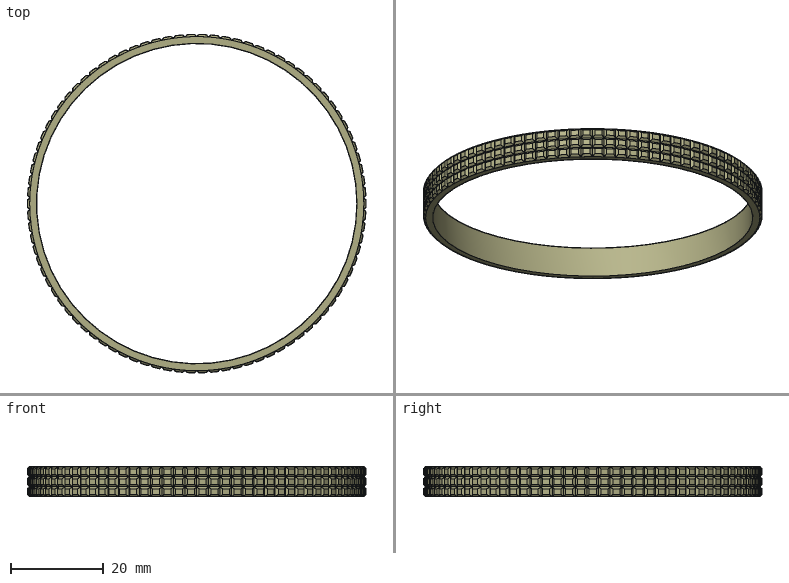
import cadquery as cq
import math

outer_diameter = 73.0
bore_diameter = 69.0
ring_height = 6.5
pad_rows = 3
pads_per_row = 90
groove_depth = 0.5
groove_half_width = 0.5

tip_radius = outer_diameter / 2
bore_radius = bore_diameter / 2
root_radius = tip_radius - groove_depth
row_pitch = ring_height / pad_rows
pad_pitch_angle = 2 * math.pi / pads_per_row
groove_half_angle = math.asin(groove_half_width / tip_radius)


def polar(radius, angle):
    """Point in the XY plane at a radius and an angle in radians."""
    return (radius * math.cos(angle), radius * math.sin(angle))


def row_profile():
    """Ring cross-section in radius and height: each row has a flat tip between two slopes."""
    profile = cq.Workplane("XZ").moveTo(bore_radius, 0).lineTo(root_radius, 0)
    for row in range(pad_rows):
        row_bottom = row * row_pitch
        row_top = row_bottom + row_pitch
        profile = profile.lineTo(tip_radius, row_bottom + groove_half_width)
        profile = profile.lineTo(tip_radius, row_top - groove_half_width)
        profile = profile.lineTo(root_radius, row_top)
    return profile.lineTo(bore_radius, ring_height).close()


def ribbed_ring():
    """Plain ring whose outside is split into rows by V grooves around it."""
    return row_profile().revolve(360, (0, 0), (0, 1))


def toothed_cylinder():
    """Solid cylinder with V grooves along Z; one pad is centred on the +X axis."""
    half_pitch = pad_pitch_angle / 2
    half_tip = half_pitch - groove_half_angle
    outline = cq.Workplane("XY").moveTo(*polar(root_radius, -half_pitch))
    for pad in range(pads_per_row):
        centre = pad * pad_pitch_angle
        outline = outline.lineTo(*polar(tip_radius, centre - half_tip))
        outline = outline.threePointArc(
            polar(tip_radius, centre),
            polar(tip_radius, centre + half_tip),
        )
        if pad < pads_per_row - 1:
            outline = outline.lineTo(*polar(root_radius, centre + half_pitch))
    return outline.close().extrude(ring_height)


result = ribbed_ring().intersect(toothed_cylinder()).solids()